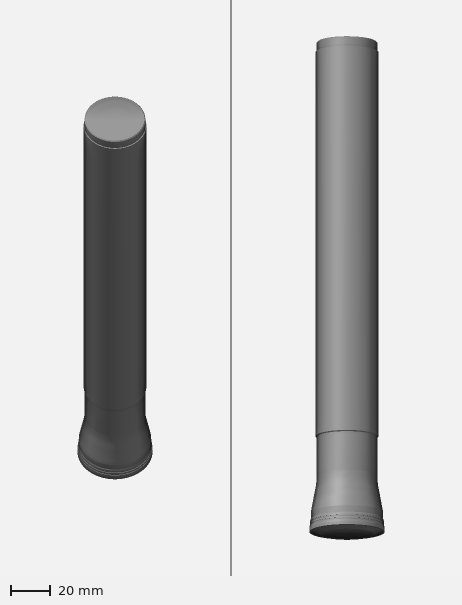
import cadquery as cq

height = 254.0
head_diameter = 38.0

barrel_bottom = 50.0
barrel_diameter = 31.8
barrel_lead_in = 0.5
cap_bottom = 249.0
neck_diameter = 30.7
cap_chamfer = 0.5

flare_top = 30.0
cone_top = 21.5
cone_top_diameter = 32.8
flare_middle_gain = 0.3
cone_bottom = 12.7
cone_bottom_diameter = 36.0
collar_top = 11.2
collar_bottom = 8.0
collar_diameter = 36.5
taper_top = 7.4
taper_top_diameter = 37.0
taper_bottom = 2.8

groove_count = 2
groove_width = 0.8
groove_depth = 0.3
groove_pitch = 2 * groove_width
lowest_groove = 4.0

rim_bottom = 1.3
rim_inner_diameter = 35.5
end_face_diameter = 27.5

head_radius = head_diameter / 2
barrel_radius = barrel_diameter / 2
neck_radius = neck_diameter / 2
taper_top_radius = taper_top_diameter / 2


def turn(half_profile):
    """Close a half profile drawn in the XZ plane and turn it about the Z axis."""
    return half_profile.close().revolve(360, (0, 0), (0, 1))


def make_barrel():
    return turn(
        cq.Workplane("XZ")
        .moveTo(0, barrel_bottom)
        .lineTo(-neck_radius, barrel_bottom)
        .lineTo(-barrel_radius, barrel_bottom + barrel_lead_in)
        .lineTo(-barrel_radius, cap_bottom)
        .lineTo(-neck_radius, cap_bottom)
        .lineTo(-neck_radius, height - cap_chamfer)
        .lineTo(-(neck_radius - cap_chamfer), height)
        .lineTo(0, height)
    )


def make_head_blank():
    """The head without its grooves."""
    flare_middle = (flare_top + cone_top) / 2
    return turn(
        cq.Workplane("XZ")
        .lineTo(-end_face_diameter / 2, 0)
        .lineTo(-rim_inner_diameter / 2, rim_bottom)
        .lineTo(-head_radius, rim_bottom)
        .lineTo(-head_radius, taper_bottom)
        .lineTo(-taper_top_radius, taper_top)
        .lineTo(-collar_diameter / 2, collar_bottom)
        .lineTo(-collar_diameter / 2, collar_top)
        .lineTo(-cone_bottom_diameter / 2, cone_bottom)
        .lineTo(-cone_top_diameter / 2, cone_top)
        .threePointArc((-(neck_radius + flare_middle_gain), flare_middle), (-neck_radius, flare_top))
        .lineTo(-neck_radius, barrel_bottom)
        .lineTo(0, barrel_bottom)
    )


def taper_radius(z):
    slope = (head_radius - taper_top_radius) / (taper_top - taper_bottom)
    return head_radius - slope * (z - taper_bottom)


def make_groove_cutter(bottom):
    """A ring that cuts one groove, measured in depth from the groove's upper edge."""
    floor_radius = taper_radius(bottom + groove_width) - groove_depth
    return (
        cq.Workplane("XY", origin=(0, 0, bottom))
        .circle(head_radius)
        .circle(floor_radius)
        .extrude(groove_width)
    )


def make_head():
    head = make_head_blank()
    for i in range(groove_count):
        head = head.cut(make_groove_cutter(lowest_groove + i * groove_pitch))
    return head.solids()


barrel = make_barrel()
head = make_head()

result = cq.Compound.makeCompound([barrel.val(), head.val()])